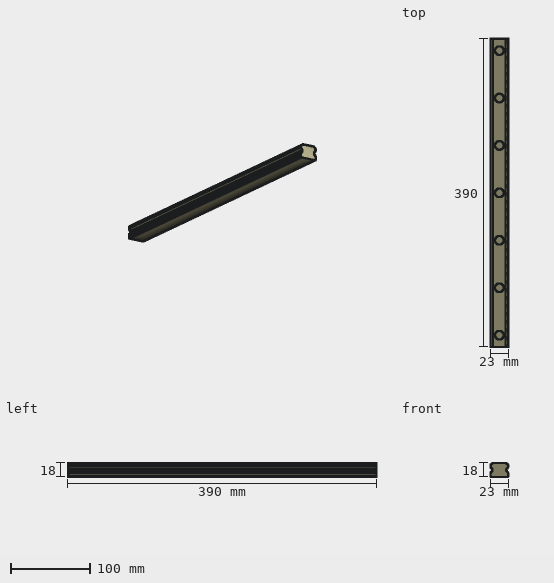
import cadquery as cq

RAIL_WIDTH = 23.0
RAIL_LENGTH = 390.0
RAIL_HEIGHT = 18.0

HALF_WIDTH = RAIL_WIDTH / 2
BASE_CHAMFER = 1.0
BASE_SIDE_TOP_Z = 4.2
SHOULDER_HALF_WIDTH = 10.9
SHOULDER_Z = 5.9
WAIST_HALF_WIDTH = 8.9
WAIST_BOTTOM_Z = 8.0
WAIST_TOP_Z = 10.0
UNDERCUT_HALF_WIDTH = 10.1
UNDERCUT_Z = 11.0
HEAD_BOTTOM_Z = 13.2
HEAD_TOP_Z = 14.4
HEAD_SLOPE_HALF_WIDTH = 11.0
HEAD_SLOPE_Z = 15.6
BEVEL_HALF_WIDTH = 8.8
BEVEL_Z = 17.4
TOP_HALF_WIDTH = 7.9

HOLE_COUNT = 7
HOLE_PITCH = 60.0
CAP_DIAMETER = 11.0
CAP_DEPTH = 0.2


def rail_body():
    right_side = [
        (HALF_WIDTH - BASE_CHAMFER, 0),
        (HALF_WIDTH, BASE_CHAMFER),
        (HALF_WIDTH, BASE_SIDE_TOP_Z),
        (SHOULDER_HALF_WIDTH, SHOULDER_Z),
        (WAIST_HALF_WIDTH, WAIST_BOTTOM_Z),
        (WAIST_HALF_WIDTH, WAIST_TOP_Z),
        (UNDERCUT_HALF_WIDTH, UNDERCUT_Z),
        (HALF_WIDTH, HEAD_BOTTOM_Z),
        (HALF_WIDTH, HEAD_TOP_Z),
        (HEAD_SLOPE_HALF_WIDTH, HEAD_SLOPE_Z),
        (BEVEL_HALF_WIDTH, BEVEL_Z),
        (TOP_HALF_WIDTH, RAIL_HEIGHT),
    ]
    left_side = [(-x, z) for x, z in reversed(right_side)]
    profile = cq.Workplane("XZ").polyline(right_side + left_side).close()
    return profile.extrude(RAIL_LENGTH / 2, both=True)


def cap_recesses():
    return (
        cq.Workplane("XY", origin=(0, 0, RAIL_HEIGHT))
        .rarray(1, HOLE_PITCH, 1, HOLE_COUNT)
        .circle(CAP_DIAMETER / 2)
        .extrude(-CAP_DEPTH)
    )


result = rail_body().cut(cap_recesses())